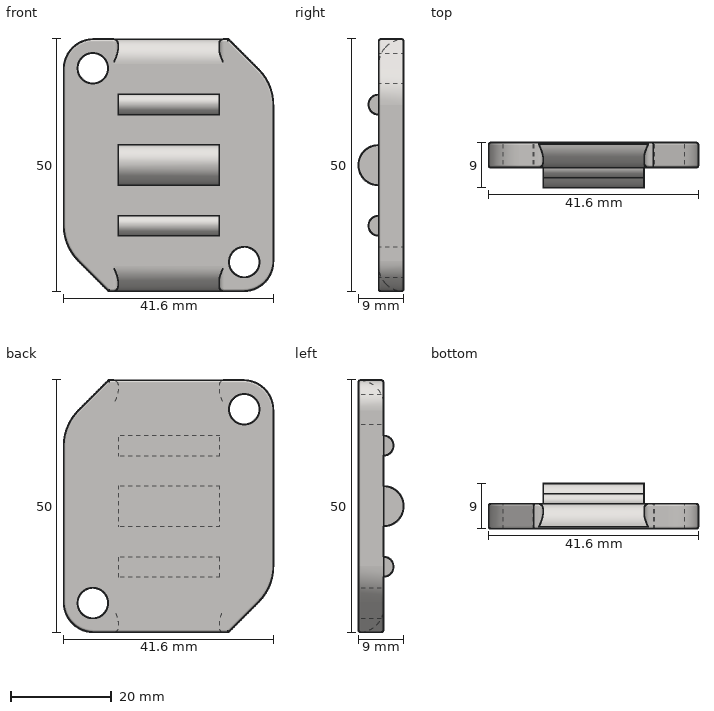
import cadquery as cq
import math

width = 41.6
height = 50.0
thickness = 5.0
half_width = width / 2
half_height = height / 2
small_corner_radius = 6.0
large_corner_radius = 10.0
large_corner_center_z = 11.9
edge_fillet = 0.5

hole_diameter = 6.0
hole_x = 15.0
hole_z = 19.2

rib_length = 20.0
main_rib_radius = 4.0
side_rib_radius = 2.0
side_rib_z = 12.0

recess_radius = thickness
recess_lip_radius = 1.0
recess_wall_spacing = 20.0
opening_depth = 10.0

tolerance = 0.005


def rotate_half_turn(points):
    """Turn (x, z) points half a turn about the plate center."""
    return [(-x, -z) for x, z in points]


def make_plate():
    """Plate outline with half-turn symmetry: small rounds, and large rounds running into 45 degree cuts."""
    diagonal = math.sqrt(0.5)
    center_x = half_width - large_corner_radius
    round_mid = (
        center_x + large_corner_radius * math.cos(math.pi / 8),
        large_corner_center_z + large_corner_radius * math.sin(math.pi / 8),
    )
    round_end = (
        center_x + large_corner_radius * diagonal,
        large_corner_center_z + large_corner_radius * diagonal,
    )
    cut_end = (round_end[0] - (half_height - round_end[1]), half_height)
    small_start = (small_corner_radius - half_width, half_height)
    small_mid = (
        small_start[0] - small_corner_radius * diagonal,
        half_height - small_corner_radius * (1 - diagonal),
    )
    small_end = (-half_width, half_height - small_corner_radius)
    round_start = (half_width, large_corner_center_z)

    upper_half = [round_start, round_mid, round_end, cut_end, small_start, small_mid, small_end]
    outline = cq.Workplane("XZ").moveTo(*round_start)
    for points in (upper_half, rotate_half_turn(upper_half)):
        start, mid, end, cut, arc_start, arc_mid, arc_end = points
        if points is not upper_half:
            outline = outline.lineTo(*start)
        outline = outline.threePointArc(mid, end).lineTo(*cut)
        outline = outline.lineTo(*arc_start).threePointArc(arc_mid, arc_end)
    return outline.close().extrude(-thickness)


def make_opened_plate():
    """Plate open at top and bottom, the opening side walls rounded onto the outer faces, front rim filleted."""
    opening = cq.Workplane("XY").box(recess_wall_spacing, thickness, 2 * opening_depth)
    body = make_plate()
    for end_z in (half_height, -half_height):
        body = body.cut(opening.translate((0, thickness / 2, end_z)))

    wall_x = recess_wall_spacing / 2
    lip_edges = []
    for edge in body.edges().vals():
        box = edge.BoundingBox()
        on_wall = abs(abs(box.center.x) - wall_x) < tolerance and box.xlen < tolerance
        on_front = box.ymax < tolerance
        on_end = abs(abs(box.center.z) - half_height) < tolerance and box.zlen < tolerance
        if on_wall and (on_front or on_end):
            lip_edges.append(edge)
    body = body.newObject(lip_edges).fillet(recess_lip_radius)

    lip_x = wall_x + recess_lip_radius
    rim_edges = []
    for edge in body.edges().vals():
        box = edge.BoundingBox()
        on_front = box.ymax < tolerance
        on_lip = abs(abs(box.center.x) - lip_x) < tolerance and box.xlen < tolerance
        on_floor = abs(abs(box.center.z) - (half_height - opening_depth)) < tolerance and box.zlen < tolerance
        if on_front and not on_lip and not on_floor:
            rim_edges.append(edge)
    return body.newObject(rim_edges).fillet(edge_fillet)


def make_recess_floor():
    """Block that refills the top opening up to the rounded recess surface, reaching under both lips."""
    floor_length = recess_wall_spacing + 2 * recess_lip_radius
    return (
        cq.Workplane("YZ", origin=(-floor_length / 2, 0, 0))
        .moveTo(0, half_height - opening_depth)
        .lineTo(0, half_height - recess_radius)
        .radiusArc((recess_radius, half_height), recess_radius)
        .lineTo(thickness, half_height - opening_depth)
        .close()
        .extrude(floor_length)
    )


def make_rib(radius, z):
    """Half-round bar along X on the front face."""
    rib = cq.Workplane("YZ", origin=(-rib_length / 2, 0, z)).circle(radius).extrude(rib_length)
    front_side = cq.Workplane("XY").box(width, 2 * radius, height).translate((0, -radius, 0))
    return rib.intersect(front_side)


def make_holes():
    """Cutter for both mounting holes."""
    return (
        cq.Workplane("XZ")
        .pushPoints([(-hole_x, hole_z), (hole_x, -hole_z)])
        .circle(hole_diameter / 2)
        .extrude(-thickness)
    )


recess_floor = make_recess_floor()
body = make_opened_plate().union(recess_floor).union(recess_floor.mirror("XY"))

body = body.intersect(make_plate().faces(">Y").edges().fillet(edge_fillet))

body = body.cut(make_holes())
body = body.union(make_rib(main_rib_radius, 0))
for rib_z in (side_rib_z, -side_rib_z):
    body = body.union(make_rib(side_rib_radius, rib_z))

result = body